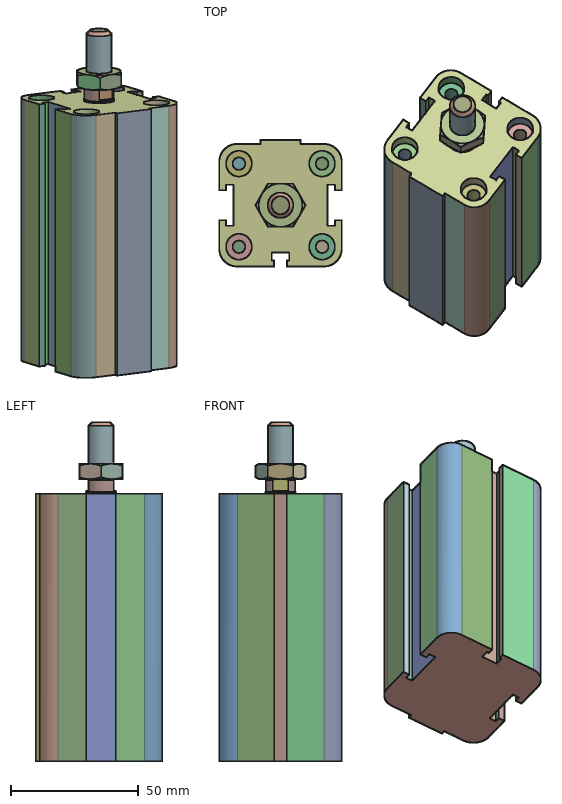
import cadquery as cq
import math

total_height = 132.5
housing_height = 104.5

housing_side = 48.0
corner_radius = 7.0
key_width = 15.8
key_height = 1.6

side_slot_mouth = 11.7
side_slot_channel = 15.9
side_lip_depth = 2.8
side_slot_depth = 5.5
front_slot_mouth = 5.0
front_slot_channel = 6.8
front_lip_depth = 2.4
front_slot_depth = 5.4

mount_spacing = 32.5
counterbore_diameter = 10.1
counterbore_depth = 5.0
mount_hole_diameter = 4.9
mount_hole_depth = 14.5

bore_depth = 14.5
collar_diameter = 12.0
shank_diameter = 11.7
flats_width = 10.0
shank_chamfer = 0.4
stud_diameter = 10.0
stud_chamfer = 1.5
collar_height = 0.7
collar_chamfer_height = 0.4
collar_chamfer_width = (collar_diameter - shank_diameter) / 2
flats_offset = 1.2

nut_base = 110.2
nut_height = 6.0
nut_across_flats = 17.0
nut_across_corners = nut_across_flats / math.cos(math.radians(30))
nut_chamfer_width = (nut_across_corners - nut_across_flats) / 2
nut_chamfer_height = nut_chamfer_width * math.tan(math.radians(30))

half_side = housing_side / 2
rod_bottom = housing_height - bore_depth


def t_slot(mouth, channel, lip_depth, depth):
    """Full-height T-slot cutter that opens on the -Y face of the housing."""
    lip = cq.Workplane("XY").box(mouth, lip_depth, housing_height, centered=(True, False, False))
    wide = cq.Workplane("XY").box(
        channel, depth - lip_depth, housing_height, centered=(True, False, False)
    )
    cutter = lip.union(wide.translate((0, lip_depth, 0)))
    return cutter.translate((0, -half_side, 0))


def make_housing():
    """Square housing with a rear key, three T-slots, mounting holes and a rod bore."""
    block = (
        cq.Workplane("XY")
        .rect(housing_side, housing_side)
        .extrude(housing_height)
        .edges("|Z")
        .fillet(corner_radius)
    )
    key = (
        cq.Workplane("XY")
        .box(key_width, half_side + key_height, housing_height, centered=(True, False, False))
    )
    housing = block.union(key)

    housing = housing.cut(t_slot(front_slot_mouth, front_slot_channel, front_lip_depth, front_slot_depth))
    side_slot = t_slot(side_slot_mouth, side_slot_channel, side_lip_depth, side_slot_depth)
    for angle in (90, -90):
        housing = housing.cut(side_slot.rotate((0, 0, 0), (0, 0, 1), angle))

    housing = (
        housing.faces(">Z")
        .workplane(origin=(0, 0, housing_height))
        .rect(mount_spacing, mount_spacing, forConstruction=True)
        .vertices()
        .cboreHole(mount_hole_diameter, counterbore_diameter, counterbore_depth, mount_hole_depth)
    )
    return (
        housing.faces(">Z")
        .workplane(origin=(0, 0, housing_height))
        .hole(shank_diameter, bore_depth)
    )


def make_rod():
    """Piston rod with a collar, a shank with two wrench flats and a chamfered stud."""
    rod = (
        cq.Workplane("XY")
        .workplane(offset=rod_bottom)
        .circle(shank_diameter / 2)
        .extrude(nut_base - rod_bottom)
        .faces(">Z")
        .chamfer(shank_chamfer)
    )
    collar = (
        cq.Workplane("XY")
        .workplane(offset=housing_height)
        .circle(collar_diameter / 2)
        .extrude(collar_height)
        .faces(">Z")
        .chamfer(collar_chamfer_height, collar_chamfer_width)
    )
    flats_base = housing_height + flats_offset
    flats_height = nut_base - flats_base
    flats_envelope = (
        cq.Workplane("XY")
        .workplane(offset=flats_base)
        .rect(collar_diameter, collar_diameter)
        .rect(collar_diameter, flats_width)
        .extrude(flats_height)
    )
    stud = (
        cq.Workplane("XY")
        .workplane(offset=nut_base)
        .circle(stud_diameter / 2)
        .extrude(total_height - nut_base)
        .faces(">Z")
        .chamfer(stud_chamfer)
    )
    return rod.union(collar).cut(flats_envelope).union(stud)


def make_nut():
    """Hexagon nut with both ends chamfered by a cone."""
    hexagon = cq.Workplane("XY").polygon(6, nut_across_corners).extrude(nut_height)
    chamfered_disc = (
        cq.Workplane("XY")
        .circle(nut_across_corners / 2)
        .extrude(nut_height)
        .faces("<Z or >Z")
        .chamfer(nut_chamfer_height, nut_chamfer_width)
    )
    bore = cq.Workplane("XY").circle(stud_diameter / 2).extrude(nut_height)
    return hexagon.intersect(chamfered_disc).cut(bore).translate((0, 0, nut_base))


housing = make_housing()
rod = make_rod()
nut = make_nut()

result = cq.Compound.makeCompound([housing.val(), rod.val(), nut.val()])